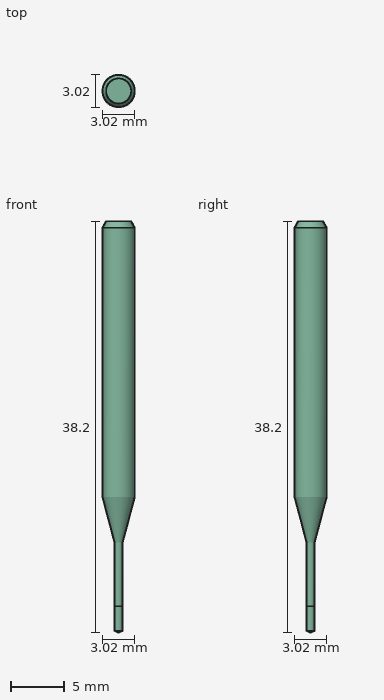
import cadquery as cq

overall_length = 38.17
shank_radius = 1.508
end_chamfer_height = 0.6
end_chamfer_width = 0.35
taper_top_z = 12.6
taper_bottom_z = 8.35
neck_radius = 0.4
cutter_radius = 0.4
cutter_top_z = 2.5
point_height = 0.2


def revolve_about_z(profile):
    """Turn a closed (radius, z) profile a full turn about the Z axis."""
    return cq.Workplane("XZ").polyline(profile).close().revolve(360, (0, 0), (0, 1))


def make_shank():
    """Chamfered cylindrical shank that tapers down to a slim neck."""
    return revolve_about_z([
        (0, cutter_top_z),
        (neck_radius, cutter_top_z),
        (neck_radius, taper_bottom_z),
        (shank_radius, taper_top_z),
        (shank_radius, overall_length - end_chamfer_height),
        (shank_radius - end_chamfer_width, overall_length),
        (0, overall_length),
    ])


def make_cutter():
    """Cylindrical cutting tip with a shallow conical point, butted onto the neck."""
    return revolve_about_z([
        (0, 0),
        (cutter_radius, point_height),
        (cutter_radius, cutter_top_z),
        (0, cutter_top_z),
    ])


shank = make_shank()
cutter = make_cutter()

result = cq.Compound.makeCompound([shank.val(), cutter.val()])